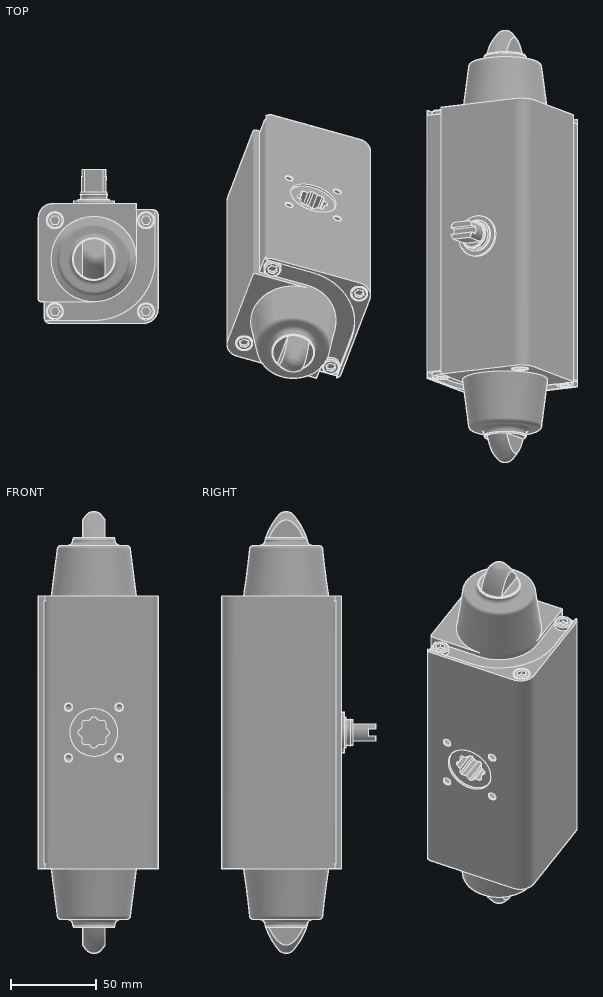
import cadquery as cq
import math

diagonal = math.sin(math.radians(45))

housing_half_length = 80.0
back_left_reach = 32.6
front_right_reach = 37.8
main_block_reach = 25.0
flange_block_reach = 29.1
main_corner_radius = 8.5
main_edge_radius = 1.5
flange_corner_radius = 9.0
flange_edge_radius = 3.5

pocket_depth = 3.0
rim_inner_radius = 36.0

screw_offset = 3.9
screw_half_spacing = 26.7
screw_head_diameter = 10.0
screw_top_diameter = 8.57
screw_socket_width = 5.0
screw_socket_depth = 2.5

cap_base_radius = 25.0
cap_shoulder_radius = 21.5
cap_shoulder_z = 107.3
cap_top_z = 109.7
cap_top_radius = 19.0
neck_fillet_outer_radius = 15.4
neck_radius = 12.5
neck_top_z = 112.6
neck_collar_top_z = 113.5
tip_base_radius = 12.0
tip_base_z = 114.3
tip_middle_radius = 8.9
tip_middle_z = 121.0
tip_dome_radius = 8.57 / 2
tip_dome_z = 127.6
tip_end_z = 259.0 / 2
tip_flat_width = 13.2

mount_circle_diameter = 42.0
mount_hole_diameter = 4.13
mount_mouth_diameter = 4.92
mount_hole_depth = 8.0
drill_point_half_angle = 59.0

shaft_diameter = 28.0
shaft_recess = 1.4
shaft_shoulder_y = 20.0
collar_diameter = 24.0
collar_end_y = 34.1
bearing_diameter = 18.4
bearing_end_y = 35.0
waist_rim_diameter = 16.0
waist_diameter = 15.2
waist_end_y = 37.8
shank_diameter = 15.2
stem_diameter = 14.6
stem_start_y = 39.3
stem_end_y = 52.6
stem_flat_width = 10.0
stem_slot_width = 4.0
stem_slot_depth = 4.3
star_square_width = 14.0
star_tip_diameter = 18.4
star_depth = 16.0


def box_between(x0, x1, y0, y1, z0, z1):
    box = cq.Workplane("XY").box(x1 - x0, y1 - y0, z1 - z0, centered=False)
    return box.translate((x0, y0, z0))


def both_ends(feature):
    """The feature at the top end together with its mirror image at the bottom end."""
    return feature.union(feature.mirror("XY"))


def main_block(z0, z1):
    block = box_between(-back_left_reach, main_block_reach, -main_block_reach, back_left_reach, z0, z1)
    block = block.edges("|Z and <X and >Y").fillet(main_corner_radius)
    return block.edges("|Z and <X and <Y").fillet(main_edge_radius)


def flange_block(z0, z1):
    block = box_between(
        -flange_block_reach, front_right_reach, -front_right_reach, flange_block_reach, z0, z1
    )
    block = block.edges("|Z and >X and <Y").fillet(flange_corner_radius)
    block = block.edges("|Z and <X and <Y").fillet(flange_edge_radius)
    return block.edges("|Z and >X and >Y").fillet(flange_edge_radius)


def end_pocket():
    """Pocket around the main block, open to the sides and closed by the rim."""
    z0 = housing_half_length - pocket_depth
    z1 = housing_half_length
    pocket = box_between(
        -front_right_reach, rim_inner_radius, -rim_inner_radius, front_right_reach, z0, z1
    )
    pocket = pocket.edges("|Z and >X and <Y").fillet(rim_inner_radius)
    kept_block = main_block(z0, z1).edges("|Z and >X and <Y").fillet(cap_base_radius)
    return pocket.cut(kept_block)


def at_screws(feature):
    """Copies of a feature at the four screw places."""
    copies = cq.Workplane("XY")
    for x in (screw_offset - screw_half_spacing, screw_offset + screw_half_spacing):
        for y in (-screw_offset - screw_half_spacing, -screw_offset + screw_half_spacing):
            copies = copies.union(feature.translate((x, y, 0)))
    return copies


def screw_counterbore():
    bore = cq.Workplane("XY").workplane(offset=housing_half_length - pocket_depth)
    return bore.circle(screw_head_diameter / 2).extrude(pocket_depth)


def screw_head():
    bevel = (screw_head_diameter - screw_top_diameter) / 2
    socket_corner_diameter = screw_socket_width / math.cos(math.radians(30))
    head = screw_counterbore().faces(">Z").chamfer(bevel)
    return head.faces(">Z").workplane().polygon(6, socket_corner_diameter).cutBlind(-screw_socket_depth)


def spring_cap():
    """Turned cap with a filleted neck and an ogive tip flattened on two sides."""
    shoulder_fillet_middle = (
        cap_top_radius + (cap_shoulder_radius - cap_top_radius) * diagonal,
        cap_shoulder_z + (cap_top_z - cap_shoulder_z) * diagonal,
    )
    neck_fillet_middle = (
        neck_fillet_outer_radius - (neck_fillet_outer_radius - neck_radius) * diagonal,
        neck_top_z - (neck_top_z - cap_top_z) * diagonal,
    )
    dome_height = tip_end_z - tip_dome_z
    dome_sphere_radius = (tip_dome_radius**2 + dome_height**2) / (2 * dome_height)
    dome_middle_radius = tip_dome_radius / 2
    dome_middle_z = tip_end_z - dome_sphere_radius + math.sqrt(dome_sphere_radius**2 - dome_middle_radius**2)
    cap = (
        cq.Workplane("XZ")
        .moveTo(0, housing_half_length - pocket_depth)
        .lineTo(cap_base_radius, housing_half_length - pocket_depth)
        .lineTo(cap_base_radius, housing_half_length)
        .lineTo(cap_shoulder_radius, cap_shoulder_z)
        .threePointArc(shoulder_fillet_middle, (cap_top_radius, cap_top_z))
        .lineTo(neck_fillet_outer_radius, cap_top_z)
        .threePointArc(neck_fillet_middle, (neck_radius, neck_top_z))
        .lineTo(neck_radius, neck_collar_top_z)
        .lineTo(tip_base_radius, neck_collar_top_z)
        .lineTo(tip_base_radius, tip_base_z)
        .threePointArc((tip_middle_radius, tip_middle_z), (tip_dome_radius, tip_dome_z))
        .threePointArc((dome_middle_radius, dome_middle_z), (0, tip_end_z))
        .close()
        .revolve(360, (0, 0), (0, 1))
    )
    half_flat = tip_flat_width / 2
    for x0, x1 in ((-cap_base_radius, -half_flat), (half_flat, cap_base_radius)):
        cap = cap.cut(box_between(x0, x1, -cap_base_radius, cap_base_radius, tip_base_z, tip_end_z))
    return cap


def mount_hole():
    """Drilled hole with a bevelled mouth and a conical bottom, entering along +Y."""
    radius = mount_hole_diameter / 2
    mouth_radius = mount_mouth_diameter / 2
    point_length = radius / math.tan(math.radians(drill_point_half_angle))
    return (
        cq.Workplane("XY")
        .polyline([
            (0, 0),
            (mouth_radius, 0),
            (radius, mouth_radius - radius),
            (radius, mount_hole_depth),
            (0, mount_hole_depth + point_length),
        ])
        .close()
        .revolve(360, (0, 0), (0, 1))
    )


def shaft_blank():
    """Turned outline of the drive shaft, long enough to reach the housing's front face."""
    return (
        cq.Workplane("XY")
        .moveTo(0, -front_right_reach)
        .lineTo(shaft_diameter / 2, -front_right_reach)
        .lineTo(shaft_diameter / 2, shaft_shoulder_y)
        .lineTo(collar_diameter / 2, shaft_shoulder_y)
        .lineTo(collar_diameter / 2, collar_end_y)
        .lineTo(bearing_diameter / 2, collar_end_y)
        .lineTo(bearing_diameter / 2, bearing_end_y)
        .lineTo(waist_rim_diameter / 2, bearing_end_y)
        .threePointArc(
            (waist_diameter / 2, (bearing_end_y + waist_end_y) / 2),
            (waist_rim_diameter / 2, waist_end_y),
        )
        .lineTo(shank_diameter / 2, waist_end_y)
        .lineTo(shank_diameter / 2, stem_start_y)
        .lineTo(stem_diameter / 2, stem_start_y)
        .lineTo(stem_diameter / 2, stem_end_y)
        .lineTo(0, stem_end_y)
        .close()
        .revolve(360, (0, 0), (0, 1))
    )


def star_socket():
    """Eight-pointed star of two crossed squares, running from Y = 0 along +Y."""
    square = cq.Workplane("XY").box(star_square_width, star_depth, star_square_width)
    star = square.union(square.rotate((0, 0, 0), (0, 1, 0), 45))
    tip_limit = cq.Workplane("XZ").circle(star_tip_diameter / 2).extrude(star_depth / 2, both=True)
    return star.intersect(tip_limit).translate((0, star_depth / 2, 0))


def build_housing():
    housing = main_block(-housing_half_length, housing_half_length)
    housing = housing.union(flange_block(-housing_half_length, housing_half_length))
    housing = housing.cut(both_ends(end_pocket()))
    housing = housing.cut(both_ends(at_screws(screw_counterbore())))
    housing = housing.union(both_ends(at_screws(screw_head())))
    housing = housing.union(both_ends(spring_cap()))
    hole_offset = mount_circle_diameter / 2 * diagonal
    for x in (-hole_offset, hole_offset):
        for z in (-hole_offset, hole_offset):
            housing = housing.cut(mount_hole().translate((x, -front_right_reach, z)))
    return housing.cut(shaft_blank())


def build_shaft():
    shaft_front_y = -front_right_reach + shaft_recess
    shaft_radius = shaft_diameter / 2
    shaft = shaft_blank()
    shaft = shaft.cut(box_between(
        -shaft_radius, shaft_radius, -front_right_reach, shaft_front_y, -shaft_radius, shaft_radius
    ))
    half_flat = stem_flat_width / 2
    stem_radius = stem_diameter / 2
    for z0, z1 in ((-stem_radius, -half_flat), (half_flat, stem_radius)):
        shaft = shaft.cut(box_between(-stem_radius, stem_radius, stem_start_y, stem_end_y, z0, z1))
    shaft = shaft.cut(box_between(
        -stem_radius, stem_radius, stem_end_y - stem_slot_depth, stem_end_y,
        -stem_slot_width / 2, stem_slot_width / 2,
    ))
    return shaft.cut(star_socket().translate((0, shaft_front_y, 0)))


housing = build_housing()
shaft = build_shaft()
result = cq.Compound.makeCompound([housing.solids().val(), shaft.solids().val()])